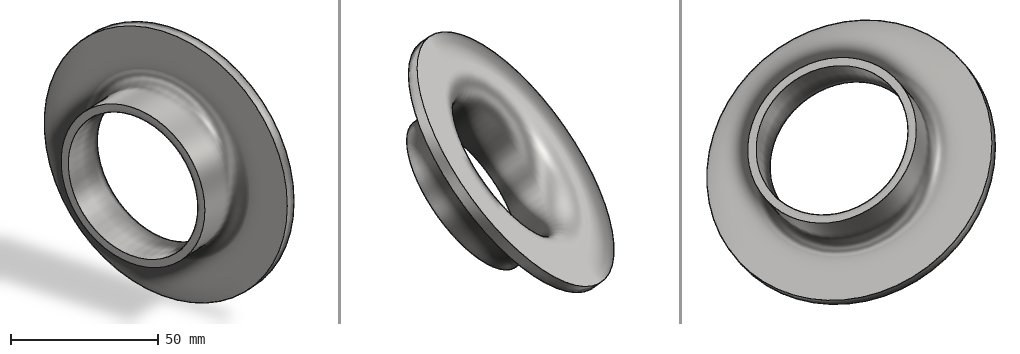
import cadquery as cq

flange_diameter = 102.0
flange_thickness = 4.0
total_length = 23.0
tube_outer_diameter = 60.3
bore_diameter = 54.3
root_fillet = 5.0

flange_radius = flange_diameter / 2
tube_radius = tube_outer_diameter / 2
mouth_radius = root_fillet + flange_thickness

back_y = total_length / 2
flange_front_y = back_y - flange_thickness
selection_margin = 0.1


def along_y(radius, length):
    """Solid cylinder running from the back face toward -Y."""
    return cq.Workplane("XZ", origin=(0, back_y, 0)).circle(radius).extrude(length)


flange = along_y(flange_radius, flange_thickness)
tube = along_y(tube_radius, total_length)
root_edge = cq.selectors.BoxSelector(
    (-flange_radius, flange_front_y - selection_margin, -flange_radius),
    (flange_radius, flange_front_y + selection_margin, flange_radius),
)
body = flange.union(tube).edges(root_edge).edges(cq.selectors.RadiusNthSelector(0)).fillet(root_fillet)

bored = body.cut(along_y(bore_diameter / 2, total_length))
result = bored.faces(">Y").edges(cq.selectors.RadiusNthSelector(0)).fillet(mouth_radius)